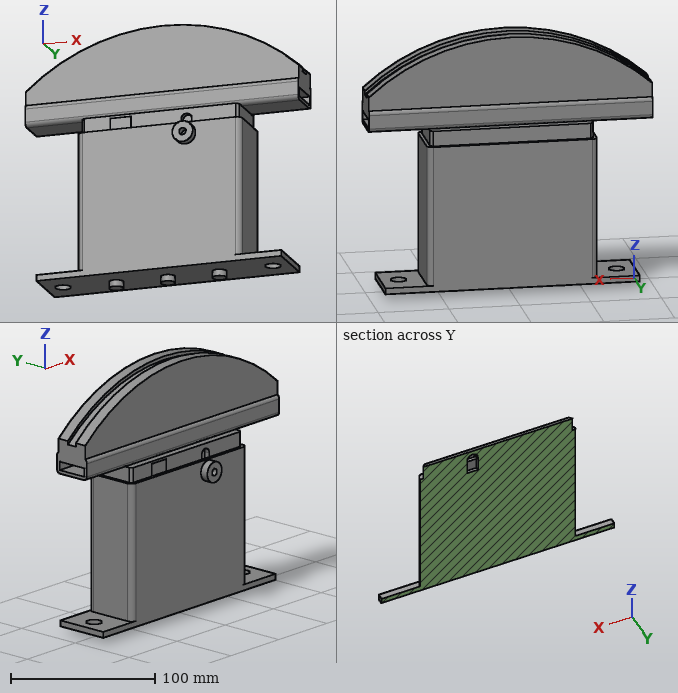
import cadquery as cq

plate_length = 179.5
plate_width = 40
plate_thickness = 4.5
mount_hole_diameter = 11.0
mount_hole_inset = 12.8

pin_diameter = 10
pin_length = 4.5
pin_pitch = 37.8
pin_count = 3

housing_length = 120
housing_top = 104.5
housing_corner_radius = 4

slider_length = 115.0
slider_width = 35.0
slider_top = 115.5
slider_chamfer = 2
window_length = 15.2
window_center_x = -28.8
window_top = 113.5
window_depth = 0.2
slot_width = 7.8
slot_top = 111.5
slot_depth = 4

knob_x = 19.5
knob_z = 96.2
knob_diameter = 15.0
knob_length = 6
knob_hole_diameter = 5.0

rail_length = 200
rail_width = 28
rail_height = 16
rail_wall = 2.5
rail_corner_radius = 3.2
rail_inner_width = rail_width - 2 * rail_wall
rail_top = slider_top + rail_height

shoe_width = 25.0
shoe_foot_bottom = 124.2
shoe_top = 179.0
arch_radius = 150
groove_width = 7.5
groove_depth = 2.5


def block(length, width, bottom, top):
    """Box centred on the Z axis between two heights."""
    return (
        cq.Workplane("XY")
        .workplane(offset=bottom)
        .rect(length, width)
        .extrude(top - bottom)
    )


def front_cylinder(x, z, diameter, face_y, length):
    """Cylinder growing toward -Y from the plane Y = face_y."""
    return (
        cq.Workplane("XZ", origin=(x, face_y, z))
        .circle(diameter / 2)
        .extrude(length)
    )


def make_base():
    hole_x = plate_length / 2 - mount_hole_inset
    plate = (
        block(plate_length, plate_width, 0, plate_thickness)
        .faces(">Z")
        .workplane(origin=(0, 0, 0))
        .pushPoints([(-hole_x, 0), (hole_x, 0)])
        .hole(mount_hole_diameter)
    )
    pins = (
        cq.Workplane("XY")
        .rarray(pin_pitch, 2, pin_count, 1)
        .circle(pin_diameter / 2)
        .extrude(-pin_length)
    )
    return plate.union(pins)


def make_housing():
    housing = block(housing_length, plate_width, plate_thickness, housing_top)
    return housing.edges("|Z").fillet(housing_corner_radius)


def make_slider():
    slider = block(slider_length, slider_width, housing_top, slider_top)
    slider = slider.edges("|Z").chamfer(slider_chamfer)
    front_y = -slider_width / 2

    window_height = window_top - housing_top
    window = cq.Workplane("XY").box(
        window_length, window_depth, window_height, centered=(True, False, False)
    )
    return slider.cut(window.translate((window_center_x, front_y, housing_top)))


def make_slot_cutter():
    """Round-topped slot in the slider, continuing behind the housing wall down to the knob."""
    front_y = -slider_width / 2
    arc_z = slot_top - slot_width / 2
    arc = front_cylinder(knob_x, arc_z, slot_width, front_y + slot_depth, slot_depth)
    stem = cq.Workplane("XY").box(
        slot_width, slot_depth, arc_z - knob_z, centered=(True, False, False)
    )
    return arc.union(stem.translate((knob_x, front_y, knob_z)))


def make_knob():
    face_y = -plate_width / 2
    knob = front_cylinder(knob_x, knob_z, knob_diameter, face_y, knob_length)
    return knob.cut(front_cylinder(knob_x, knob_z, knob_hole_diameter, face_y, knob_length))


def make_rail():
    outer = block(rail_length, rail_width, slider_top, rail_top)
    outer = outer.edges("|X").fillet(rail_corner_radius)
    return outer.cut(block(rail_length, rail_inner_width, slider_top + rail_wall, rail_top - rail_wall))


def under_arch(width, bottom, top):
    """Full-length block whose top is an arch peaking at the given height."""
    arch_disc = (
        cq.Workplane("XZ", origin=(0, 0, top - arch_radius))
        .circle(arch_radius)
        .extrude(width / 2, both=True)
    )
    return block(rail_length, width, bottom, top).intersect(arch_disc)


def make_shoe():
    body = under_arch(shoe_width, rail_top - rail_wall, shoe_top)
    groove = block(rail_length, groove_width, rail_top, shoe_top)
    groove_floor = under_arch(groove_width, rail_top, shoe_top - groove_depth)
    foot = block(rail_length, rail_inner_width, shoe_foot_bottom, rail_top)
    return body.cut(groove).union(groove_floor).union(foot)


result = (
    make_base()
    .union(make_housing())
    .union(make_slider())
    .cut(make_slot_cutter())
    .union(make_knob())
    .union(make_rail())
    .union(make_shoe())
)